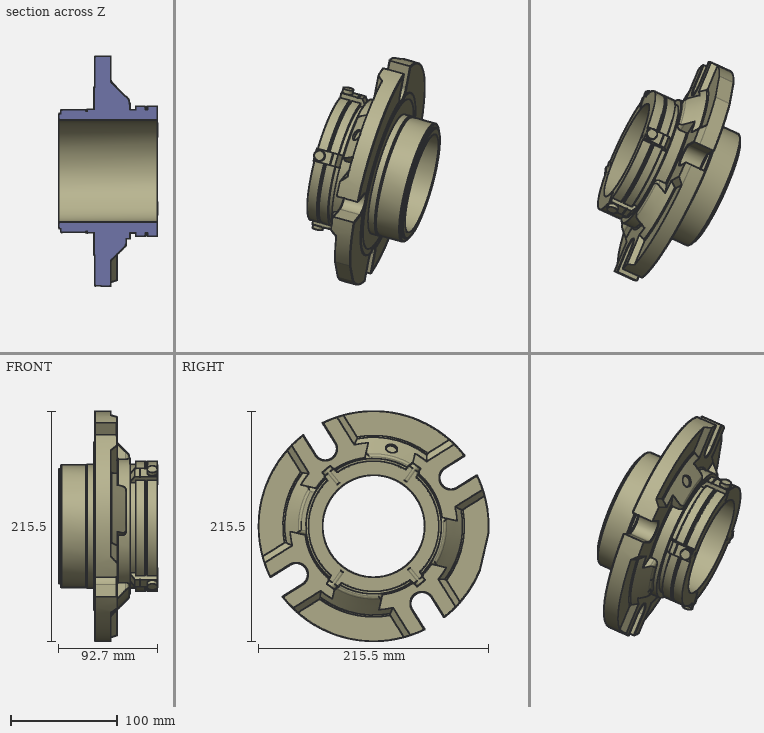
import cadquery as cq

BORE_D = 95.3
NOSE_D = 108.0
NOSE_BEVEL = 0.9
BARREL_D = 115.0
BARREL_START = 2.0
BARREL_END = 26.0
BARREL_CHAMFER = 0.9
GROOVE_D = 113.0
GROOVE_END = 26.7
SLEEVE_D = 116.2

FLANGE_D = 215.5
FLANGE_BACK = 33.6
FLANGE_FRONT = 49.0
PAD_FRONT = 54.7
EDGE_CHAMFER = 0.6
RIM_FLAT_R = 106.2
FACE_D = 158.2
FACE_HEIGHT = 0.6
GASKET_D = 145.5
GASKET_RECESS = 0.2

BOLT_COUNT = 4
BOLT_STEP = 360.0 / BOLT_COUNT
BOLT_ANGLE = 32.0
SLOT_WIDTH = 21.1
SLOT_CENTER_R = 85.3
SLOT_TOP = 129.3
PAD_WIDTH_BASE = 62.0
PAD_WIDTH_TOP = 50.0
PAD_INNER_R = 64.6

COLLAR_D = 126.7
COLLAR_END = 67.0
HUB_R = 78.2
HUB_FOOT = 0.9
COLLAR_FILLET = 1.3
BOSS_ANGLE = BOLT_ANGLE - BOLT_STEP / 2
BOSS_WIDTH = 44.8
BOSS_ROOT_R = 53.9
BOSS_FRONT = 66.2
LOW_BOSS_FRONT = 63.4
LOW_BOSS_INDEX = 1
BOSS_FILLET = 3.9
RIM_FLAT_ANGLE = BOSS_ANGLE - BOLT_STEP
PORT_D = 11.0
PORT_X = 58.5
PORT_DEPTH = 2.2

RING_D = 122.0
RING_GAP_D = 116.0
REAR_RING = (72.0, 81.5)
FRONT_RING = (83.0, 92.5)
RING_CHAMFER = 0.9
PART_END = FRONT_RING[1]

CLIP_ANGLES = (39.7, 144.8, 219.7, 324.8)
CLIP_WIDTH = 11.9
CLIP_R = 65.3
CLIP_TOE_R = 58.8
CLIP_INNER_R = 51.7
CLIP_SHOULDER_X = 71.3
CLIP_GROOVE = (75.9, 76.5)
CLIP_GROOVE_DEPTH = 0.6
SCREW_D = 10.0
SCREW_X = 87.7
SCREW_TOP_R = 69.4


def revolve_about_x(points):
    """Solid of revolution from a closed (x, radius) outline."""
    return cq.Workplane("XY").polyline(points).close().revolve(360, (0, 0, 0), (1, 0, 0))


def tube(start, end, diameter):
    """Solid cylinder along X."""
    return cq.Workplane("YZ", origin=(start, 0, 0)).circle(diameter / 2).extrude(end - start)


def turn(shape, angle):
    """Turn a shape built on the +Z side to its clock angle."""
    return shape.rotate((0, 0, 0), (1, 0, 0), angle)


def hub_radius(x):
    """Radius of the 45 degree hub cone."""
    return HUB_R + PAD_FRONT - x


def make_sleeve():
    nose_r = NOSE_D / 2
    barrel_r = BARREL_D / 2
    groove_r = GROOVE_D / 2
    sleeve_r = SLEEVE_D / 2
    return revolve_about_x([
        (0, 0),
        (0, nose_r - NOSE_BEVEL),
        (NOSE_BEVEL, nose_r),
        (BARREL_START, nose_r),
        (BARREL_START, barrel_r - BARREL_CHAMFER),
        (BARREL_START + BARREL_CHAMFER, barrel_r),
        (BARREL_END - BARREL_CHAMFER, barrel_r),
        (BARREL_END, barrel_r - BARREL_CHAMFER),
        (BARREL_END, groove_r),
        (GROOVE_END, groove_r),
        (GROOVE_END, sleeve_r),
        (COLLAR_END, sleeve_r),
        (COLLAR_END, RING_GAP_D / 2),
        (PART_END, RING_GAP_D / 2),
        (PART_END, 0),
    ])


def make_pad():
    """Pad with sloping sides around one slot, trimmed to the flange rim."""
    half_base = PAD_WIDTH_BASE / 2
    half_top = PAD_WIDTH_TOP / 2
    outline = [
        (-half_base, FLANGE_FRONT),
        (half_base, FLANGE_FRONT),
        (half_top, PAD_FRONT),
        (-half_top, PAD_FRONT),
    ]
    outline = [(x, -y) for y, x in outline]
    bar = (
        cq.Workplane("XY", origin=(0, 0, PAD_INNER_R))
        .polyline(outline).close()
        .extrude(FLANGE_D / 2 - PAD_INNER_R)
    )
    return bar.intersect(tube(FLANGE_FRONT, PAD_FRONT, FLANGE_D))


def slot_outline(x, margin):
    """U-shaped slot outline in the plane at x, widened by a margin on each side."""
    half = SLOT_WIDTH / 2 + margin
    return (
        cq.Workplane("YZ", origin=(x, 0, 0))
        .moveTo(half, SLOT_TOP)
        .lineTo(half, SLOT_CENTER_R)
        .threePointArc((0, SLOT_CENTER_R - half), (-half, SLOT_CENTER_R))
        .lineTo(-half, SLOT_TOP)
        .close()
    )


def slot_flare(wide_x, narrow_x):
    """45 degree flare that narrows to the slot outline at narrow_x."""
    wide = slot_outline(wide_x, abs(narrow_x - wide_x)).val()
    narrow = slot_outline(narrow_x, 0).val()
    return cq.Workplane(cq.Solid.makeLoft([wide, narrow], True))


def make_slot():
    """Plain through cutter for one bolt slot."""
    return slot_outline(FLANGE_BACK, 0).extrude(PAD_FRONT - FLANGE_BACK)


def cut_at_bolts(shape, cutter):
    """Cut the same tool at every bolt position."""
    for i in range(BOLT_COUNT):
        shape = shape.cut(turn(cutter, BOLT_ANGLE + i * BOLT_STEP))
    return shape


def make_hub():
    """Hub cone, cut down above the pad level to four straight-sided bosses."""
    foot_x = FLANGE_FRONT + HUB_FOOT
    cone = revolve_about_x([
        (FLANGE_FRONT, 0),
        (FLANGE_FRONT, hub_radius(FLANGE_FRONT) + HUB_FOOT),
        (foot_x, hub_radius(foot_x)),
        (BOSS_FRONT, hub_radius(BOSS_FRONT)),
        (BOSS_FRONT, 0),
    ])
    envelope = tube(FLANGE_FRONT, PAD_FRONT, FLANGE_D)
    for i in range(BOLT_COUNT):
        front = LOW_BOSS_FRONT if i == LOW_BOSS_INDEX else BOSS_FRONT
        block = (
            cq.Workplane("XY", origin=(FLANGE_FRONT, 0, BOSS_ROOT_R))
            .rect(2 * (front - FLANGE_FRONT), BOSS_WIDTH)
            .extrude(HUB_R)
        )
        block = block.intersect(tube(FLANGE_FRONT, BOSS_FRONT, 2 * FLANGE_D))
        envelope = envelope.union(turn(block, BOSS_ANGLE + i * BOLT_STEP))
    hub = cone.intersect(envelope)
    hub = hub.faces(">X").edges().fillet(BOSS_FILLET)
    return hub.faces("|X").faces(">X[-2]").edges().fillet(BOSS_FILLET)


def make_flange():
    """Flange disc with hub, pads, bolt slots and one small flat on the rim."""
    flange = tube(FLANGE_BACK, FLANGE_FRONT, FLANGE_D).union(make_hub())
    for i in range(BOLT_COUNT):
        flange = flange.union(turn(make_pad(), BOLT_ANGLE + i * BOLT_STEP))
    flange = cut_at_bolts(flange, make_slot())
    flat = (
        cq.Workplane("XY", origin=(FLANGE_BACK, 0, RIM_FLAT_R))
        .rect(FLANGE_D, FLANGE_D)
        .extrude(FLANGE_D)
    )
    flange = flange.cut(turn(flat, RIM_FLAT_ANGLE))
    flange = flange.faces("<X").edges().chamfer(EDGE_CHAMFER)
    return cut_at_bolts(flange, slot_flare(PAD_FRONT, PAD_FRONT - EDGE_CHAMFER))


def make_sealing_face():
    """Raised ring face with a shallow gasket recess, cut by the bolt slots."""
    face_r = FACE_D / 2
    start = FLANGE_BACK - FACE_HEIGHT
    face = revolve_about_x([
        (start + GASKET_RECESS, 0),
        (start + GASKET_RECESS, GASKET_D / 2),
        (start, GASKET_D / 2),
        (start, face_r - FACE_HEIGHT),
        (FLANGE_BACK, face_r),
        (FLANGE_BACK, 0),
    ])
    return cut_at_bolts(face, slot_outline(start, EDGE_CHAMFER).extrude(FACE_HEIGHT))


def make_port():
    """Blind round port square to the cone of the boss at the +Z side."""
    plane = cq.Plane(origin=(PORT_X, 0, hub_radius(PORT_X)), xDir=(0, 1, 0), normal=(1, 0, 1))
    return cq.Workplane(plane).circle(PORT_D / 2).extrude(PORT_DEPTH, both=True)


def make_clip():
    """Clip bar with a sloping toe, a shallow cross groove and a round screw head."""
    bar = (
        cq.Workplane("XZ", origin=(0, CLIP_WIDTH / 2, 0))
        .polyline([
            (COLLAR_END, CLIP_INNER_R),
            (COLLAR_END, CLIP_TOE_R),
            (CLIP_SHOULDER_X, CLIP_R),
            (CLIP_GROOVE[0], CLIP_R),
            (CLIP_GROOVE[0], CLIP_R - CLIP_GROOVE_DEPTH),
            (CLIP_GROOVE[1], CLIP_R - CLIP_GROOVE_DEPTH),
            (CLIP_GROOVE[1], CLIP_R),
            (PART_END, CLIP_R),
            (PART_END, CLIP_INNER_R),
        ]).close()
        .extrude(CLIP_WIDTH)
    )
    screw = (
        cq.Workplane("XY", origin=(SCREW_X, 0, CLIP_INNER_R))
        .circle(SCREW_D / 2)
        .extrude(SCREW_TOP_R - CLIP_INNER_R)
    )
    return bar.union(screw)


def make_collar():
    """Plain collar in front of the hub, with a small bevel at its root."""
    collar_r = COLLAR_D / 2
    return revolve_about_x([
        (FLANGE_FRONT, 0),
        (FLANGE_FRONT, collar_r + COLLAR_FILLET),
        (PAD_FRONT, collar_r + COLLAR_FILLET),
        (PAD_FRONT + COLLAR_FILLET, collar_r),
        (COLLAR_END, collar_r),
        (COLLAR_END, 0),
    ])


def make_rear_ring():
    ring = tube(*REAR_RING, RING_D)
    return ring.faces(">X").edges().chamfer(RING_CHAMFER)


result = make_flange().union(make_sealing_face()).union(make_collar())
result = result.cut(turn(make_port(), BOSS_ANGLE))

result = result.union(make_sleeve())
result = result.union(make_rear_ring()).union(tube(*FRONT_RING, RING_D))
for clip_angle in CLIP_ANGLES:
    result = result.union(turn(make_clip(), clip_angle))

result = result.cut(tube(0, PART_END, BORE_D))